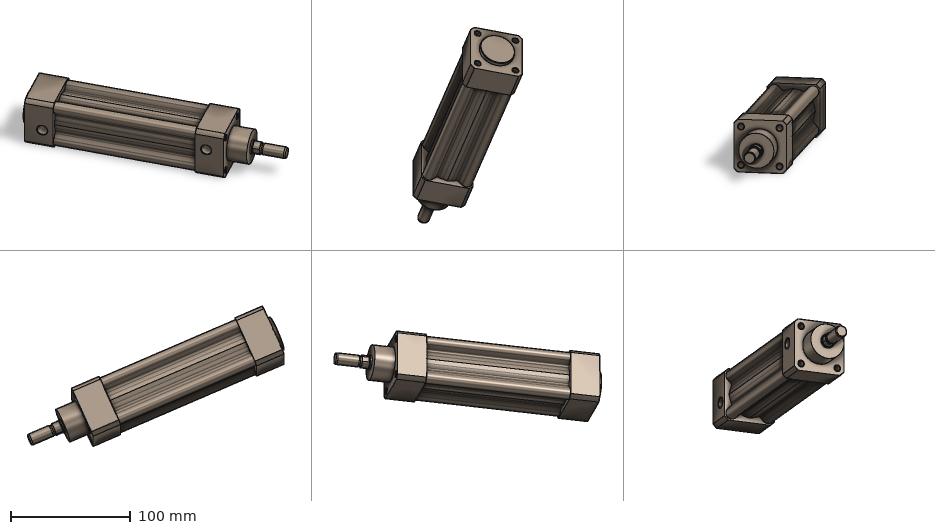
import cadquery as cq
import math


rear_boss_length = 3.6
cap_length = 25.0
barrel_length = 124.0
front_boss_length = 17.6
rear_cap_start = rear_boss_length
barrel_start = rear_cap_start + cap_length
front_cap_start = barrel_start + barrel_length
front_boss_start = front_cap_start + cap_length
rod_start = front_boss_start + front_boss_length
rod_end = 226.0

cap_size = 45.0
cap_corner_diameter = 59.0
boss_diameter = 29.8
rear_boss_chamfer = 0.5
screw_spacing = 32.8
screw_hole_diameter = 5.0
screw_hole_depth = 15.8
screw_hole_chamfer = 0.5
port_diameter = 8.8
port_depth = 11.3
port_chamfer = 0.5
port_offset = 5.0
rear_port_x = 19.2
front_port_x = 162.5

tube_center = screw_spacing / 2
tube_radius = 5.0
core_radius = 18.0
groove_radius = 2.3
ridge_half_width = 3.8

rod_diameter = 12.0
shank_diameter = 10.8
flat_distance = 10.0
thread_diameter = 10.0
undercut_diameter = 8.8
tip_diameter = 8.8
collar_length = 1.4
collar_taper = 0.7
flats_setback = 2.7
flats_start = rod_start + flats_setback
undercut_start = 203.6
undercut_taper_start = 205.0
thread_start = 206.3
tip_length = 1.4


def cylinder_x(diameter, length, x):
    """Solid cylinder along the X axis, starting at x."""
    return cq.Workplane("YZ", origin=(x, 0, 0)).circle(diameter / 2).extrude(length)


def cap_block(x):
    """Square block whose four corners are rounded about the main axis."""
    square = cq.Workplane("YZ", origin=(x, 0, 0)).rect(cap_size, cap_size).extrude(cap_length)
    return square.intersect(cylinder_x(cap_corner_diameter, cap_length, x))


def countersunk_hole(diameter, depth, chamfer, mouth, direction):
    """Cutter for a blind round hole that starts at the mouth and is chamfered there."""
    bore = cq.Solid.makeCylinder(diameter / 2, depth, mouth, direction)
    countersink = cq.Solid.makeCone(diameter / 2 + chamfer, diameter / 2, chamfer, mouth, direction)
    return cq.Workplane(bore.fuse(countersink))


def cut_screw_holes(body, x, inward):
    """Cut the four screw holes from the face at x; inward is the boring direction along X."""
    direction = cq.Vector(inward, 0, 0)
    for y_side in (-1, 1):
        for z_side in (-1, 1):
            mouth = cq.Vector(x, y_side * screw_spacing / 2, z_side * screw_spacing / 2)
            hole = countersunk_hole(
                screw_hole_diameter, screw_hole_depth, screw_hole_chamfer, mouth, direction
            )
            body = body.cut(hole)
    return body


def port(x, z):
    """Cutter for a blind air port entering from the -Y side."""
    mouth = cq.Vector(x, -cap_size / 2, z)
    return countersunk_hole(port_diameter, port_depth, port_chamfer, mouth, cq.Vector(0, 1, 0))


def make_rear_cap():
    boss = cylinder_x(boss_diameter, rear_boss_length, 0).faces("<X").chamfer(rear_boss_chamfer)
    body = cap_block(rear_cap_start).union(boss)
    body = cut_screw_holes(body, rear_cap_start, 1)
    return body.cut(port(rear_port_x, -port_offset))


def make_front_cap():
    boss = cylinder_x(boss_diameter, front_boss_length, front_boss_start)
    body = cap_block(front_cap_start).union(boss)
    body = cut_screw_holes(body, front_boss_start, -1)
    return body.cut(port(front_port_x, port_offset))


def polar(radius, angle, center=(0.0, 0.0)):
    """Point at a radius and angle (radians) about a center."""
    return (center[0] + radius * math.cos(angle), center[1] + radius * math.sin(angle))


def turned(point, quarter_turns):
    """Point turned about the origin by a whole number of right angles."""
    y, z = point
    for _ in range(quarter_turns):
        y, z = -z, y
    return (y, z)


def mirrored(point):
    """Point reflected across the 45 degree diagonal."""
    return (point[1], point[0])


def make_barrel():
    """Round core with a tube at each corner, on a stem along the diagonal, filleted into the core."""
    diagonal = math.pi / 4
    ridge_angle = math.asin(ridge_half_width / core_radius)
    ridge_tip = (core_radius / math.cos(ridge_angle), 0.0)
    ridge_foot = polar(core_radius, ridge_angle)

    fillet_distance = core_radius + groove_radius
    fillet_angle = diagonal - math.asin((tube_radius + groove_radius) / fillet_distance)
    fillet_center = polar(fillet_distance, fillet_angle)
    toward_core = fillet_angle + math.pi
    toward_flank = diagonal + math.pi / 2
    core_middle = polar(core_radius, (ridge_angle + fillet_angle) / 2)
    core_end = polar(core_radius, fillet_angle)
    fillet_middle = polar(groove_radius, (toward_core + toward_flank) / 2, fillet_center)
    flank_start = polar(groove_radius, toward_flank, fillet_center)

    tube = (tube_center, tube_center)
    tube_start = polar(tube_radius, diagonal - math.pi / 2, tube)
    tube_middle = polar(tube_radius, diagonal, tube)

    profile = cq.Workplane("YZ", origin=(barrel_start, 0, 0)).moveTo(*ridge_tip)
    for quarter in range(4):

        def at(point):
            return turned(point, quarter)

        profile = (
            profile.lineTo(*at(ridge_foot))
            .threePointArc(at(core_middle), at(core_end))
            .threePointArc(at(fillet_middle), at(flank_start))
            .lineTo(*at(tube_start))
            .threePointArc(at(tube_middle), at(mirrored(tube_start)))
            .lineTo(*at(mirrored(flank_start)))
            .threePointArc(at(mirrored(fillet_middle)), at(mirrored(core_end)))
            .threePointArc(at(mirrored(core_middle)), at(mirrored(ridge_foot)))
            .lineTo(*at(mirrored(ridge_tip)))
        )
    return profile.close().extrude(barrel_length)


def make_piston_rod():
    """Turned rod: collar, shank with two wrench flats, undercut and threaded end."""
    collar_end = rod_start + collar_length
    outline = [
        (rod_start, 0),
        (rod_start, rod_diameter / 2),
        (collar_end, rod_diameter / 2),
        (collar_end + collar_taper, shank_diameter / 2),
        (undercut_start, shank_diameter / 2),
        (undercut_start, undercut_diameter / 2),
        (undercut_taper_start, undercut_diameter / 2),
        (thread_start, thread_diameter / 2),
        (rod_end - tip_length, thread_diameter / 2),
        (rod_end, tip_diameter / 2),
        (rod_end, 0),
    ]
    rod = cq.Workplane("XY").polyline(outline).close().revolve(360, (0, 0, 0), (1, 0, 0))

    flat_length = undercut_start - flats_start
    for side in (-1, 1):
        cutter_center = side * (flat_distance + rod_diameter) / 2
        cutter = cq.Workplane("YZ", origin=(flats_start, cutter_center, 0)).rect(rod_diameter, rod_diameter)
        rod = rod.cut(cutter.extrude(flat_length))
    return rod


rear_cap = make_rear_cap()
barrel = make_barrel()
front_cap = make_front_cap()
piston_rod = make_piston_rod()

result = cq.Compound.makeCompound([rear_cap.val(), barrel.val(), front_cap.val(), piston_rod.val()])